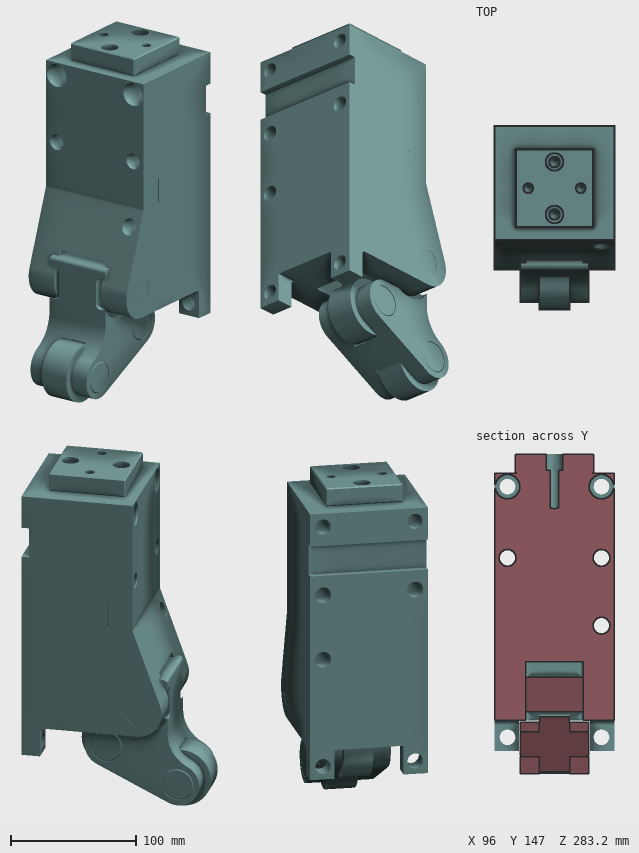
import cadquery as cq
import math


WIDTH = 96.0
HOUSING_TOP = 222.0
HOUSING_DEPTH = 91.0
FLOOR_Z = 24.0
FOOT_THICKNESS = 15.3
FOOT_FILLET = 3.5
FOOT_SLOT_WIDTH = 56.3
REAR_SLOT_TOP = 195.0
REAR_SLOT_HEIGHT = 25.0
REAR_SLOT_DEPTH = 6.2

STRIP_TOP = 135.3
STRIP_HEIGHT = 20.7
STRIP_DEPTH = 20.7
STRIP_CHAMFER = 1.0

HOLE_SPACING = 75.0
BOLT_RADIUS = 6.2
BOLT_HEAD_RADIUS = 9.5
BOLT_HEAD_DEPTH = 56.5
UPPER_BOLT_Z = 210.8
FOOT_BOLT_Z = 10.8
DOWEL_RADIUS = 6.5
DOWEL_PAIR_Z = 154.0
DOWEL_SINGLE_Z = 100.0

SLIDE_SIZE = 62.8
SLIDE_HEIGHT = 15.0
SLIDE_CENTRE_Y = -49.8
SLIDE_CHAMFER = 0.8
SLIDE_HOLE_OFFSET = 21.0
SCREW_HEAD_RADIUS = 7.0
SCREW_HEAD_DEPTH = 12.7
SCREW_RADIUS = 4.2
SCREW_DEPTH = 42.5
PIN_HOLE_RADIUS = 4.0
PIN_HOLE_DEPTH = 22.5
DRILL_POINT_ANGLE = 118.0

PIVOT_Y = -94.0
PIVOT_Z = 45.0
NOSE_RADIUS = PIVOT_Z - FLOOR_Z
FRONT_Y = PIVOT_Y - NOSE_RADIUS
PIVOT_PIN_RADIUS = 10.2
PIVOT_PIN_INSET = 0.3

LEVER_WIDTH = 55.0
HUB_RADIUS = 25.0
HUB_WIDTH = 45.8
HEAD_TOP = 66.2
HEAD_ROUND = 3.0
WING_BACK_Y = -109.2
BOSS_RADIUS = 17.8
THROAT_RADIUS = 30.5
NOTCH_DEPTH = 4.5
NOTCH_FLOOR_WIDTH = 36.5
NOTCH_FILLET = 4.2

ROLLER_RADIUS = 23.8
ROLLER_WIDTH = 24.0
ROLLER_SLOT_RADIUS = 25.5
AXLE_RADIUS = 13.0
AXLE_CHAMFER = 0.8
ROLLER_OFFSET_Y = 29.2
REAR_ROLLER_DROP = 39.5
FRONT_ROLLER_DROP = 67.4
REAR_ROLLER = (PIVOT_Y + ROLLER_OFFSET_Y, PIVOT_Z - REAR_ROLLER_DROP)
FRONT_ROLLER = (PIVOT_Y - ROLLER_OFFSET_Y, PIVOT_Z - FRONT_ROLLER_DROP)

POCKET_TOP = 70.8
POCKET_BACK_Y = REAR_ROLLER[0] + ROLLER_SLOT_RADIUS
POCKET_CORNER = 2.3


def side_plane(width):
    """YZ plane at the left side of something of this width, centred on X = 0."""
    return cq.Workplane("YZ", origin=(-width / 2, 0, 0))


def cross_cylinder(centre, radius, length):
    """Cylinder along X, centred on X = 0; centre is (y, z)."""
    return side_plane(length).center(*centre).circle(radius).extrude(length)


def block(x_size, y_range, z_range):
    """Box centred on X = 0 between two Y values and two Z values."""
    depth = y_range[1] - y_range[0]
    height = z_range[1] - z_range[0]
    corner = (-x_size / 2, y_range[0], z_range[0])
    return cq.Workplane("XY").box(x_size, depth, height, centered=False).translate(corner)


def front_hole(x, z, radius):
    """Hole along Y through the whole depth of the housing."""
    return cq.Workplane("XZ").center(x, z).circle(radius).extrude(-FRONT_Y)


def around(centre, radius, angle):
    """Point on a circle in the YZ plane; the angle runs from +Y towards +Z."""
    return (centre[0] + radius * math.cos(angle), centre[1] + radius * math.sin(angle))


def housing_blank():
    slope_start = (-HOUSING_DEPTH, STRIP_TOP - STRIP_HEIGHT)
    pivot = (PIVOT_Y, PIVOT_Z)
    reach_y = slope_start[0] - pivot[0]
    reach_z = slope_start[1] - pivot[1]
    tangent_turn = math.acos(NOSE_RADIUS / math.hypot(reach_y, reach_z))
    tangent_angle = math.atan2(reach_z, reach_y) + tangent_turn
    outline = (
        side_plane(WIDTH)
        .moveTo(0, 0)
        .lineTo(0, HOUSING_TOP)
        .lineTo(-HOUSING_DEPTH, HOUSING_TOP)
        .lineTo(*slope_start)
        .lineTo(*around(pivot, NOSE_RADIUS, tangent_angle))
        .threePointArc(around(pivot, NOSE_RADIUS, math.radians(225)), (PIVOT_Y, FLOOR_Z))
        .lineTo(-FOOT_THICKNESS, FLOOR_Z)
        .lineTo(-FOOT_THICKNESS, 0)
        .close()
    )
    blank = outline.extrude(WIDTH)
    corner = cq.selectors.NearestToPointSelector((0, -FOOT_THICKNESS, FLOOR_Z))
    return blank.edges(corner).fillet(FOOT_FILLET)


def lever_pocket():
    pocket = block(HUB_WIDTH, (FRONT_Y, POCKET_BACK_Y), (0, POCKET_TOP))
    return pocket.edges("|Z and >Y").fillet(POCKET_CORNER)


def drilled_hole(x, y, radius, depth):
    """Blind hole from the top of the slide, ending in a drill point."""
    point = radius / math.tan(math.radians(DRILL_POINT_ANGLE / 2))
    profile = cq.Workplane("XZ").polyline([(0, 0), (radius, 0), (radius, -depth), (0, -depth - point)])
    return profile.close().revolve().translate((x, y, HOUSING_TOP + SLIDE_HEIGHT))


def make_housing():
    body = housing_blank()
    slot_bottom = REAR_SLOT_TOP - REAR_SLOT_HEIGHT
    body = body.cut(block(WIDTH, (-REAR_SLOT_DEPTH, 0), (slot_bottom, REAR_SLOT_TOP)))
    body = body.cut(block(FOOT_SLOT_WIDTH, (-FOOT_THICKNESS - FOOT_FILLET, 0), (0, FLOOR_Z)))
    body = body.cut(lever_pocket())
    body = body.cut(cross_cylinder((PIVOT_Y, PIVOT_Z), PIVOT_PIN_RADIUS, WIDTH))

    for x in (-HOLE_SPACING / 2, HOLE_SPACING / 2):
        head = cq.Workplane("XZ", origin=(0, -HOUSING_DEPTH, 0)).center(x, UPPER_BOLT_Z)
        body = body.cut(head.circle(BOLT_HEAD_RADIUS).extrude(-BOLT_HEAD_DEPTH))
        body = body.cut(front_hole(x, UPPER_BOLT_Z, BOLT_RADIUS))
        body = body.cut(front_hole(x, FOOT_BOLT_Z, BOLT_RADIUS))
        body = body.cut(front_hole(x, DOWEL_PAIR_Z, DOWEL_RADIUS))
    body = body.cut(front_hole(HOLE_SPACING / 2, DOWEL_SINGLE_Z, DOWEL_RADIUS))

    slide_rear = SLIDE_CENTRE_Y + SLIDE_SIZE / 2
    slide = block(
        SLIDE_SIZE, (slide_rear - SLIDE_SIZE, slide_rear), (HOUSING_TOP, HOUSING_TOP + SLIDE_HEIGHT)
    )
    body = body.union(slide.edges().chamfer(SLIDE_CHAMFER))
    for side in (-SLIDE_HOLE_OFFSET, SLIDE_HOLE_OFFSET):
        screw_y = SLIDE_CENTRE_Y + side
        body = body.cut(drilled_hole(0, screw_y, SCREW_RADIUS, SCREW_DEPTH))
        head = cq.Workplane("XY", origin=(0, screw_y, HOUSING_TOP + SLIDE_HEIGHT))
        body = body.cut(head.circle(SCREW_HEAD_RADIUS).extrude(-SCREW_HEAD_DEPTH))
        body = body.cut(drilled_hole(side, SLIDE_CENTRE_Y, PIN_HOLE_RADIUS, PIN_HOLE_DEPTH))

    strip_back = -HOUSING_DEPTH + STRIP_DEPTH
    strip = block(WIDTH, (-HOUSING_DEPTH, strip_back), (STRIP_TOP - STRIP_HEIGHT, STRIP_TOP))
    body = body.cut(strip)
    return body.union(strip.faces(">Y").edges().chamfer(STRIP_CHAMFER), clean=False)


def lever_blank():
    throat_y = FRONT_Y - THROAT_RADIUS
    span = THROAT_RADIUS + BOSS_RADIUS
    throat_z = FRONT_ROLLER[1] + math.sqrt(span**2 - (throat_y - FRONT_ROLLER[0]) ** 2)
    throat = (throat_y, throat_z)
    throat_end = math.atan2(FRONT_ROLLER[1] - throat_z, FRONT_ROLLER[0] - throat_y)

    run_y = FRONT_ROLLER[0] - REAR_ROLLER[0]
    run_z = FRONT_ROLLER[1] - REAR_ROLLER[1]
    underside = math.atan2(run_z, run_y) + math.pi / 2

    outline = (
        side_plane(LEVER_WIDTH)
        .moveTo(WING_BACK_Y, HEAD_TOP)
        .lineTo(FRONT_Y, HEAD_TOP)
        .lineTo(FRONT_Y, throat_z)
        .threePointArc(
            around(throat, THROAT_RADIUS, throat_end / 2), around(throat, THROAT_RADIUS, throat_end)
        )
        .threePointArc(
            around(FRONT_ROLLER, BOSS_RADIUS, math.pi), around(FRONT_ROLLER, BOSS_RADIUS, underside)
        )
        .lineTo(*around(REAR_ROLLER, BOSS_RADIUS, underside))
        .threePointArc(
            around(REAR_ROLLER, BOSS_RADIUS, 0), around(REAR_ROLLER, BOSS_RADIUS, math.pi / 2)
        )
        .lineTo(PIVOT_Y, REAR_ROLLER[1] + BOSS_RADIUS)
        .lineTo(PIVOT_Y, PIVOT_Z)
        .lineTo(WING_BACK_Y, PIVOT_Z)
        .close()
    )
    arms = outline.extrude(LEVER_WIDTH)
    pivot = (PIVOT_Y, PIVOT_Z)
    cheek_space = cross_cylinder(pivot, HUB_RADIUS, LEVER_WIDTH)
    hub = cross_cylinder(pivot, HUB_RADIUS, HUB_WIDTH)
    hub_limit = block(HUB_WIDTH, (FRONT_Y, PIVOT_Y + HUB_RADIUS), (PIVOT_Z - HUB_RADIUS, HEAD_TOP))
    head = block(HUB_WIDTH, (FRONT_Y, PIVOT_Y), (PIVOT_Z, HEAD_TOP))
    body = arms.cut(cheek_space).union(hub.intersect(hub_limit)).union(head)
    head_corner = cq.selectors.NearestToPointSelector((0, FRONT_Y, HEAD_TOP))
    return body.edges(head_corner).fillet(HEAD_ROUND)


def side_notch(side):
    """Notch with a rounded floor in the front of the hub; side is -1 or +1."""
    half_height = math.sqrt(HUB_RADIUS**2 - NOSE_RADIUS**2)
    width = (LEVER_WIDTH - NOTCH_FLOOR_WIDTH) / 2
    notch = cq.Workplane("XY").box(width, 2 * NOTCH_DEPTH, 2 * half_height)
    floor_edges = notch.faces("<X" if side > 0 else ">X").edges("not <Y")
    centre_x = side * (NOTCH_FLOOR_WIDTH + width) / 2
    return floor_edges.fillet(NOTCH_FILLET).translate((centre_x, FRONT_Y, PIVOT_Z))


def make_lever():
    body = lever_blank()
    for side in (-1, 1):
        body = body.cut(side_notch(side))
    for centre in (REAR_ROLLER, FRONT_ROLLER):
        body = body.cut(cross_cylinder(centre, ROLLER_SLOT_RADIUS, ROLLER_WIDTH))
        body = body.cut(cross_cylinder(centre, AXLE_RADIUS, LEVER_WIDTH))
    pin_length = WIDTH - 2 * PIVOT_PIN_INSET
    return body.union(cross_cylinder((PIVOT_Y, PIVOT_Z), PIVOT_PIN_RADIUS, pin_length))


def make_roller(centre):
    axle = cross_cylinder(centre, AXLE_RADIUS, LEVER_WIDTH).faces("<X or >X").chamfer(AXLE_CHAMFER)
    return axle.union(cross_cylinder(centre, ROLLER_RADIUS, ROLLER_WIDTH))


housing = make_housing()
lever = make_lever()
rollers = [make_roller(centre) for centre in (REAR_ROLLER, FRONT_ROLLER)]

bodies = [housing, lever, *rollers]
result = cq.Compound.makeCompound([body.solids().val() for body in bodies])